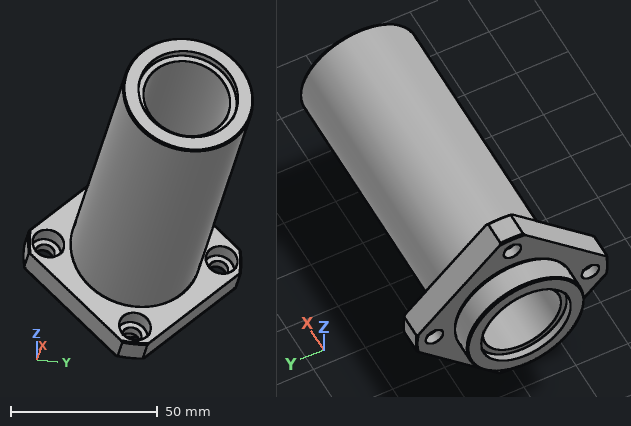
import cadquery as cq

length = 123.0
body_diameter = 45.0
edge_chamfer = 0.6
edge_chamfer_depth = 0.4

flange_start = 10.0
flange_thickness = 10.0
flange_diameter = 73.9
flange_across_flats = 58.0
flange_chamfer = 0.5
flange_end = flange_start + flange_thickness

neck_taper = 0.7

bore_diameter = 30.0
recess_diameter = 34.5
recess_depth = 3.0

bolt_circle_diameter = 60.0
bolt_count = 4
bolt_hole_diameter = 6.6
counterbore_diameter = 11.0
counterbore_depth = 6.2


def cylinder(start, depth, diameter):
    """Solid cylinder along +X, centred on the turning axis."""
    return cq.Workplane("YZ", origin=(start, 0, 0)).circle(diameter / 2).extrude(depth)


def make_body():
    """Turned sleeve with chamfered ends tapering to a slight neck at the flange."""
    radius = body_diameter / 2
    end_radius = radius - edge_chamfer_depth
    profile = [
        (0, 0),
        (0, end_radius),
        (edge_chamfer, radius),
        (flange_start - neck_taper, radius),
        (flange_start, end_radius),
        (flange_end, end_radius),
        (flange_end + neck_taper, radius),
        (length - edge_chamfer, radius),
        (length, end_radius),
        (length, 0),
    ]
    return cq.Workplane("XY").polyline(profile).close().revolve(360, (0, 0, 0), (1, 0, 0))


def make_flange():
    """Chamfered disc trimmed to a square standing on its corner."""
    disc = cylinder(flange_start, flange_thickness, flange_diameter).edges().chamfer(flange_chamfer)
    square = (
        cq.Workplane("YZ", origin=(flange_start, 0, 0))
        .rect(flange_across_flats, flange_across_flats)
        .extrude(flange_thickness)
        .rotate((0, 0, 0), (1, 0, 0), 45)
    )
    return disc.intersect(square)


def bolt_cutters(start, depth, diameter):
    """One cylinder at each corner of the flange."""
    return (
        cq.Workplane("YZ", origin=(start, 0, 0))
        .polarArray(bolt_circle_diameter / 2, 0, 360, bolt_count)
        .circle(diameter / 2)
        .extrude(depth)
    )


flange = make_flange()
flange = flange.cut(bolt_cutters(flange_start, flange_thickness, bolt_hole_diameter))
flange = flange.cut(bolt_cutters(flange_end - counterbore_depth, counterbore_depth, counterbore_diameter))

result = make_body().union(flange)
result = result.cut(cylinder(0, length, bore_diameter))
for recess_start in (0, length - recess_depth):
    result = result.cut(cylinder(recess_start, recess_depth, recess_diameter))